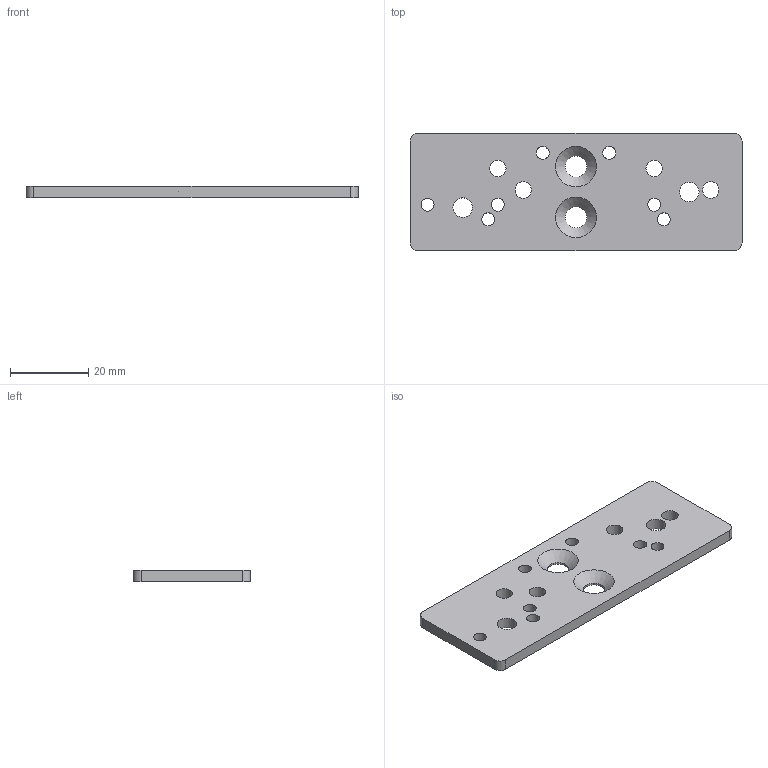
import cadquery as cq

LENGTH = 85.0
WIDTH = 30.0
THICKNESS = 3.0
CORNER_RADIUS = 2.0

SCREW_DIAMETER = 5.5
COUNTERSINK_DIAMETER = 10.4
COUNTERSINK_ANGLE = 90.0
SCREW_SPACING = 13.0

SMALL_DIAMETER = 3.3
MEDIUM_DIAMETER = 4.2
LARGE_DIAMETER = 5.0

UPPER_SMALL_PAIR = (8.5, 10.0)
INNER_SMALL_PAIR = (20.0, -3.25)
LOWER_SMALL_PAIR = (22.5, -7.0)
MEDIUM_PAIR = (20.0, 6.0)

SINGLE_SMALL = (-38.0, -3.25)
SINGLE_MEDIUM_LEFT = (-13.5, 0.5)
SINGLE_MEDIUM_RIGHT = (34.5, 0.5)
LARGE_LEFT = (-29.0, -4.0)
LARGE_RIGHT = (29.0, 0.0)


def mirrored(pair):
    """Return both centres of a hole pair mirrored about the YZ plane."""
    half_spacing, y = pair
    return [(-half_spacing, y), (half_spacing, y)]


def make_plate():
    """Flat rectangular plate with rounded vertical corners."""
    plate = cq.Workplane("XY").box(LENGTH, WIDTH, THICKNESS, centered=(True, True, False))
    return plate.edges("|Z").fillet(CORNER_RADIUS)


def on_top(plate):
    """Workplane on the top face, with its origin at the plate centre."""
    return plate.faces(">Z").workplane(origin=(0, 0, THICKNESS))


def cut_screw_holes(plate):
    """Two screw holes countersunk from the top face."""
    centres = [(0, SCREW_SPACING / 2), (0, -SCREW_SPACING / 2)]
    screw_holes = on_top(plate).pushPoints(centres)
    return screw_holes.cskHole(SCREW_DIAMETER, COUNTERSINK_DIAMETER, COUNTERSINK_ANGLE)


def cut_plain_holes(plate):
    """Plain through holes in three sizes."""
    small_centres = [
        *mirrored(UPPER_SMALL_PAIR),
        *mirrored(INNER_SMALL_PAIR),
        *mirrored(LOWER_SMALL_PAIR),
        SINGLE_SMALL,
    ]
    medium_centres = [*mirrored(MEDIUM_PAIR), SINGLE_MEDIUM_LEFT, SINGLE_MEDIUM_RIGHT]
    large_centres = [LARGE_LEFT, LARGE_RIGHT]
    hole_groups = [
        (SMALL_DIAMETER, small_centres),
        (MEDIUM_DIAMETER, medium_centres),
        (LARGE_DIAMETER, large_centres),
    ]
    for diameter, centres in hole_groups:
        plate = on_top(plate).pushPoints(centres).hole(diameter)
    return plate


result = cut_plain_holes(cut_screw_holes(make_plate()))